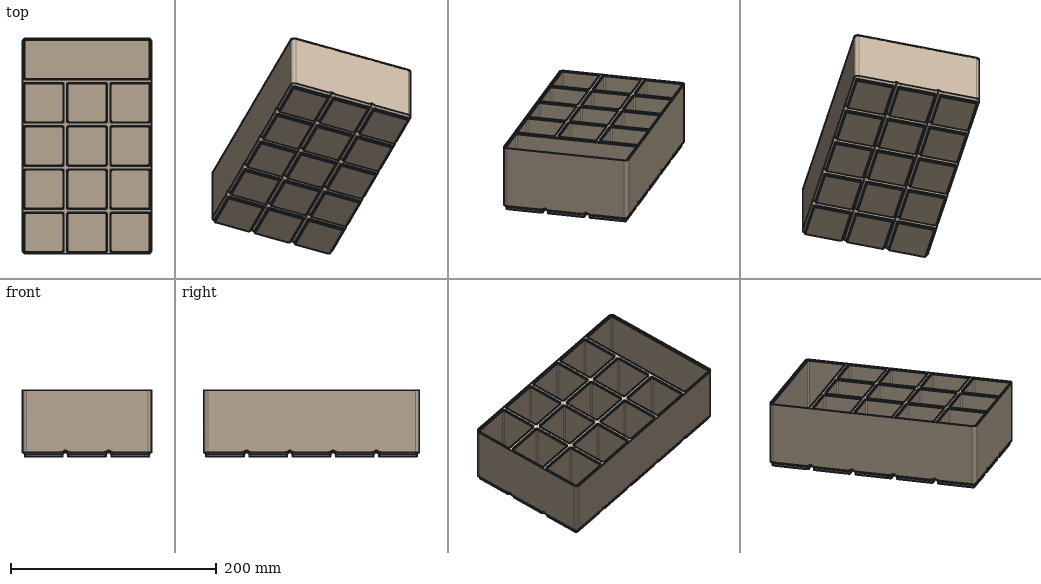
import cadquery as cq

columns = 3
rows = 5
length = 209.5
clearance = 0.5
pitch = (length + clearance) / rows
width = columns * pitch - clearance
height = 65.0

outer_radius = 3.8
cell_radius = outer_radius + clearance / 2

foot_chamfer = 0.6
foot_band = 2.0
flare_reach = 2.4
flare_base = foot_chamfer + foot_band
flare_top = 8.4
foot_size = pitch - 2 * flare_reach
foot_radius = cell_radius - flare_reach

cell_wall = 2.3
rim_chamfer = 0.8
pocket_radius = 1.5
floor_height = 7.0


def rounded_block(size_x, size_y, radius, bottom, top, flare_angle=0):
    """Block with rounded upright corners; its sides lean outwards by flare_angle degrees."""
    outline = cq.Sketch().rect(size_x, size_y).vertices().fillet(radius)
    base = cq.Workplane("XY", origin=(0, 0, bottom)).placeSketch(outline)
    return base.extrude(top - bottom, taper=-flare_angle)


def cell_center(column, row):
    """Centre of a cell; column 0 is at -X and row 0 is at -Y."""
    x = (column - (columns - 1) / 2) * pitch
    y = (row - (rows - 1) / 2) * pitch
    return x, y, 0


def make_foot():
    """One foot; its flare goes on past the cell edge to shape the notches at the outer walls."""
    foot = rounded_block(foot_size, foot_size, foot_radius, 0, flare_base)
    foot = foot.faces("<Z").chamfer(foot_chamfer)
    flare = rounded_block(foot_size, foot_size, foot_radius, flare_base, flare_top, 45)
    return foot.union(flare)


def make_body():
    """Solid bin: the overlapping feet trimmed to the outer walls, with a plain block above."""
    foot = make_foot()
    feet = cq.Workplane("XY")
    for column in range(columns):
        for row in range(rows):
            feet = feet.union(foot.translate(cell_center(column, row)))
    feet = feet.intersect(rounded_block(width, length, outer_radius, 0, flare_top))
    return feet.union(rounded_block(width, length, outer_radius, flare_top, height))


def make_pocket(cells_wide):
    """Cutter for a compartment one cell deep in Y and cells_wide cells wide in X."""
    size_x = cells_wide * pitch - 2 * cell_wall
    size_y = pitch - 2 * cell_wall
    pocket = rounded_block(size_x, size_y, pocket_radius, floor_height, height)
    rim = rounded_block(size_x, size_y, pocket_radius, height - rim_chamfer, height, 45)
    return pocket.union(rim)


result = make_body()

square_pocket = make_pocket(1)
for column in range(columns):
    for row in range(rows - 1):
        result = result.cut(square_pocket.translate(cell_center(column, row)))

middle_column = (columns - 1) / 2
result = result.cut(make_pocket(columns).translate(cell_center(middle_column, rows - 1)))